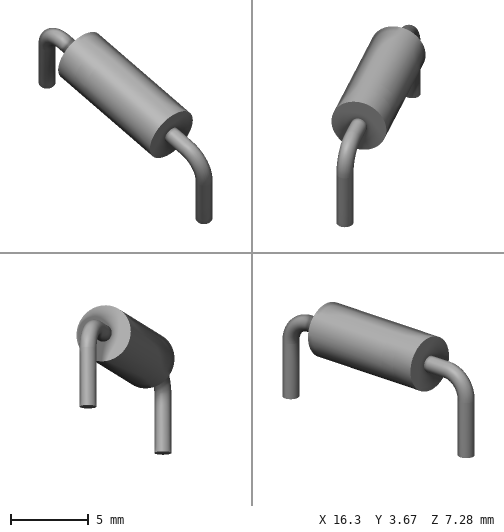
import cadquery as cq

overall_length = 16.33
overall_height = 7.28
body_diameter = 3.67
body_length = 8.9
end_cap_length = 1.52
band_length = 1.0
lead_diameter = 1.1
bend_radius = 1.5 * lead_diameter

axis_height = overall_height - body_diameter / 2
body_start = -body_length / 2
band_start = body_start + end_cap_length
main_start = band_start + band_length
main_length = body_length - end_cap_length - band_length
leg_offset = (overall_length - lead_diameter) / 2
bend_start = leg_offset - bend_radius
leg_length = axis_height - bend_radius


def body_section(start, length):
    """Solid cylinder on the component axis, running toward +X from start."""
    return (
        cq.Workplane("YZ", origin=(start, 0, axis_height))
        .circle(body_diameter / 2)
        .extrude(length)
    )


def bent_lead(side):
    """Round wire from a body end face, bent down to a vertical leg; side is -1 or 1."""
    path = (
        cq.Workplane("XZ")
        .moveTo(side * body_length / 2, axis_height)
        .lineTo(side * bend_start, axis_height)
        .tangentArcPoint((side * leg_offset, leg_length), relative=False)
        .lineTo(side * leg_offset, 0)
    )
    return (
        cq.Workplane("YZ", origin=(side * body_length / 2, 0, axis_height))
        .circle(lead_diameter / 2)
        .sweep(path)
    )


end_cap = body_section(body_start, end_cap_length)
polarity_band = body_section(band_start, band_length)
main_body = body_section(main_start, main_length)
leads = [bent_lead(side) for side in (-1, 1)]

result = cq.Compound.makeCompound([
    end_cap.val(),
    polarity_band.val(),
    main_body.val(),
    *[lead.val() for lead in leads],
])